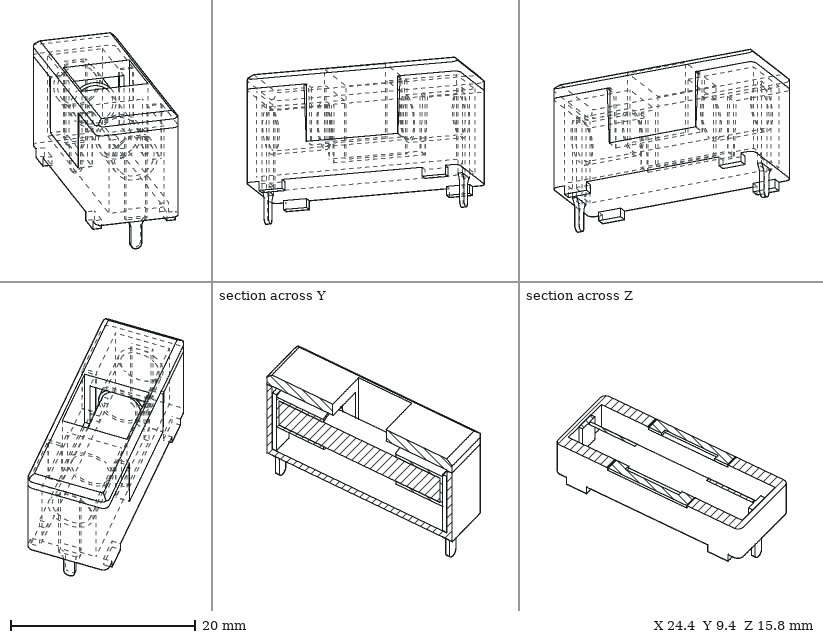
import cadquery as cq
import math

LENGTH = 24.4
WIDTH = 9.4
HEIGHT = 12.27
BASE_HEIGHT = 10.52
CORNER_RADIUS = 0.7
TOP_CHAMFER = 0.7

SIDE_WALL = 1.59
END_WALL = 0.75
FLOOR = 1.0
CAVITY_LENGTH = LENGTH - 2 * END_WALL
CAVITY_WIDTH = WIDTH - 2 * SIDE_WALL

NOTCH_BOTTOM = 4.05
NOTCH_TOP_WIDTH = 11.0
NOTCH_BOTTOM_WIDTH = 10.5
FLAP_WIDTH = 10.37

WINDOW_LENGTH = 6.98
WINDOW_WIDTH = 7.47

FOOT_LENGTH = 2.65
FOOT_WIDTH = 1.0
FOOT_HEIGHT = 1.0
FOOT_END_OFFSET = 1.54

TERMINAL_THICKNESS = 0.51
PIN_WIDTH = 1.25
PIN_LENGTH = 3.55
FLARE_HEIGHT = 1.0
PLATE_WIDTH = 2.4
PLATE_INNER_X = CAVITY_LENGTH / 2 - TERMINAL_THICKNESS

TUBE_DIAMETER = 4.5
CAP_DIAMETER = 5.2
FUSE_AXIS_Z = 6.95
CAP_LENGTH = 6.2
CAP_END_THICKNESS = 0.3
TUBE_LENGTH = 2 * (PLATE_INNER_X - CAP_END_THICKNESS)
PLATE_TOP = FUSE_AXIS_Z + CAP_DIAMETER / 2


def block(length, width, bottom, top):
    """Box centred on the z axis between two heights."""
    return cq.Workplane("XY").workplane(offset=bottom).rect(length, width).extrude(top - bottom)


def rounded_block(bottom, top):
    """Full-footprint block with rounded vertical edges."""
    return block(LENGTH, WIDTH, bottom, top).edges("|Z").fillet(CORNER_RADIUS)


def x_cylinder(diameter, start_x, length):
    """Cylinder on the fuse axis, running in +X from start_x."""
    plane = cq.Workplane("YZ", origin=(start_x, 0, FUSE_AXIS_Z))
    return plane.circle(diameter / 2).extrude(length)


def make_notch_cutter():
    """Tapered prism that cuts the notch through both side walls."""
    return (
        cq.Workplane("XZ")
        .moveTo(-NOTCH_BOTTOM_WIDTH / 2, NOTCH_BOTTOM)
        .lineTo(NOTCH_BOTTOM_WIDTH / 2, NOTCH_BOTTOM)
        .lineTo(NOTCH_TOP_WIDTH / 2, BASE_HEIGHT)
        .lineTo(-NOTCH_TOP_WIDTH / 2, BASE_HEIGHT)
        .close()
        .extrude(WIDTH / 2, both=True)
    )


def make_feet():
    """Four feet flush with the long sides of the base."""
    spacing_x = LENGTH - 2 * FOOT_END_OFFSET - FOOT_LENGTH
    spacing_y = WIDTH - FOOT_WIDTH
    return (
        cq.Workplane("XY")
        .rarray(spacing_x, spacing_y, 2, 2)
        .rect(FOOT_LENGTH, FOOT_WIDTH)
        .extrude(-FOOT_HEIGHT)
    )


def make_base(terminals):
    """Open-topped box with side notches, feet and terminal slots in its floor."""
    base = rounded_block(0, BASE_HEIGHT)
    base = base.cut(block(CAVITY_LENGTH, CAVITY_WIDTH, FLOOR, BASE_HEIGHT))
    base = base.cut(make_notch_cutter())
    base = base.union(make_feet())
    for terminal in terminals:
        base = base.cut(terminal)
    return base


def make_cover():
    """Chamfered top plate with a flap down each long side and a window."""
    chamfered = block(LENGTH, WIDTH, BASE_HEIGHT, HEIGHT).faces(">Z").edges().chamfer(TOP_CHAMFER)
    plate = chamfered.intersect(rounded_block(BASE_HEIGHT, HEIGHT))
    flaps = block(FLAP_WIDTH, WIDTH, NOTCH_BOTTOM, BASE_HEIGHT)
    flaps = flaps.cut(block(FLAP_WIDTH, CAVITY_WIDTH, NOTCH_BOTTOM, BASE_HEIGHT))
    window = block(WINDOW_LENGTH, WINDOW_WIDTH, NOTCH_BOTTOM, HEIGHT)
    return plate.union(flaps).cut(window)


def make_terminal(side):
    """Terminal at the +X (side = 1) or -X (side = -1) end."""
    pin_half = PIN_WIDTH / 2
    plate_half = PLATE_WIDTH / 2
    flare = plate_half - pin_half
    flare_radius = (flare**2 + FLARE_HEIGHT**2) / (2 * flare)
    half_angle = math.asin(FLARE_HEIGHT / flare_radius) / 2
    flare_mid_y = pin_half + flare_radius * (1 - math.cos(half_angle))
    flare_mid_z = -FLARE_HEIGHT + flare_radius * math.sin(half_angle)
    tip_start_z = -PIN_LENGTH + pin_half
    start_x = side * (PLATE_INNER_X + TERMINAL_THICKNESS / 2) - TERMINAL_THICKNESS / 2
    return (
        cq.Workplane("YZ", origin=(start_x, 0, 0))
        .moveTo(-plate_half, PLATE_TOP)
        .lineTo(-plate_half, 0)
        .threePointArc((-flare_mid_y, flare_mid_z), (-pin_half, -FLARE_HEIGHT))
        .lineTo(-pin_half, tip_start_z)
        .threePointArc((0, -PIN_LENGTH), (pin_half, tip_start_z))
        .lineTo(pin_half, -FLARE_HEIGHT)
        .threePointArc((flare_mid_y, flare_mid_z), (plate_half, 0))
        .lineTo(plate_half, PLATE_TOP)
        .close()
        .extrude(TERMINAL_THICKNESS)
    )


def make_tube():
    """Fuse tube between the end discs of the caps."""
    return x_cylinder(TUBE_DIAMETER, -TUBE_LENGTH / 2, TUBE_LENGTH)


def make_cap(side, tube):
    """Fuse cap at the +X (side = 1) or -X (side = -1) end, hollowed to seat the tube."""
    return x_cylinder(CAP_DIAMETER, side * PLATE_INNER_X, -side * CAP_LENGTH).cut(tube)


terminals = [make_terminal(side) for side in (-1, 1)]
base = make_base(terminals)
cover = make_cover()
tube = make_tube()
caps = [make_cap(side, tube) for side in (-1, 1)]

bodies = [base, cover, tube, *caps, *terminals]
result = cq.Compound.makeCompound([body.solids().val() for body in bodies])